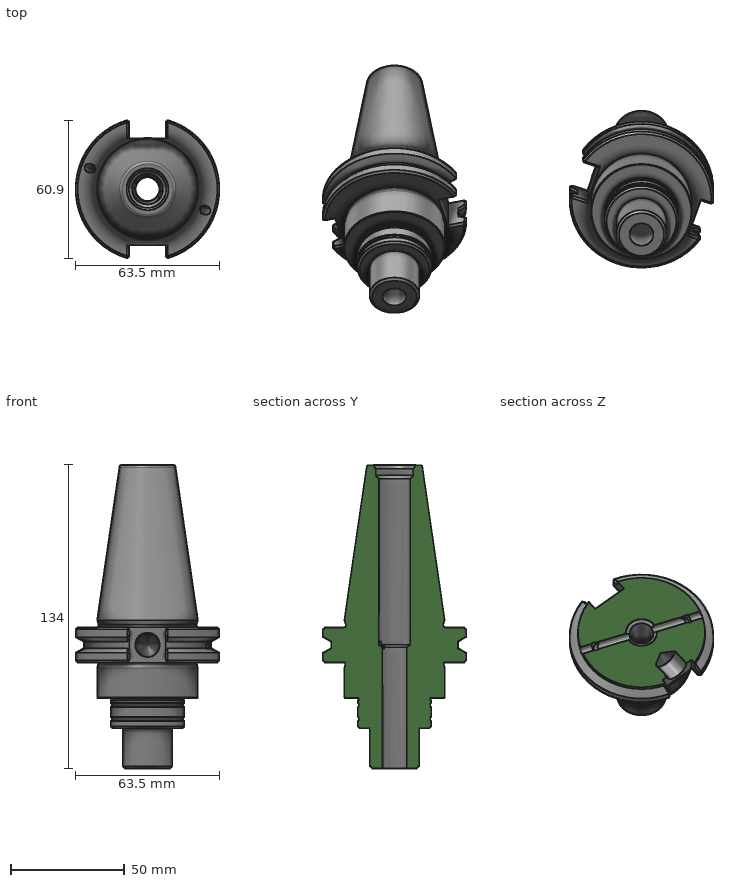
import cadquery as cq
import math

total_length = 134.0
overcut = 1.3

gauge_z = 65.5
gauge_radius = 44.5 / 2
taper_ratio = 7 / 24
nose_radius = gauge_radius - (total_length - gauge_z) * taper_ratio / 2
nose_fillet = 1.2
relief_radius = 21.5
relief_fillet = 1.1

flange_radius = 63.5 / 2
flange_bottom_z = 46.7
flange_top_z = 62.3
flange_chamfer = 1.0
groove_center_z = 54.5
groove_floor_radius = 28.1
groove_floor_half = 1.5
groove_mouth_half = 3.5

neck_radius = 21.8
neck_bottom_z = 46.0
collar_radius = 44.5 / 2
collar_top_z = 44.5
collar_bottom_z = 31.1
collar_chamfer = 0.3

sleeve_radius = 32.5 / 2
sleeve_bottom_z = 17.7
sleeve_chamfer = 1.0
undercut_radius = 16.0
undercut_bottom_z = 30.0
ring_groove_centers = (21.8, 28.0)
ring_groove_half = 1.0
ring_groove_depth = 0.4

spigot_radius = 22.0 / 2
spigot_chamfer = 1.1

mouth_radius = 9.2
counterbore_radius = 16.5 / 2
counterbore_top_z = total_length - 1.7
counterbore_bottom_z = total_length - 4.7
upper_bore_radius = 13.5 / 2
upper_bore_top_z = counterbore_bottom_z - (counterbore_radius - upper_bore_radius)
upper_bore_bottom_z = groove_center_z
lower_bore_radius = 10.5 / 2
drill_half_angle = math.radians(59)
bore_cone_height = (upper_bore_radius - lower_bore_radius) / math.tan(drill_half_angle)
lower_bore_top_z = upper_bore_bottom_z - bore_cone_height

slot_half_width = 16.2 / 2
slot_chamfer = 1.0
slot_floor_front = 24.8
slot_floor_back = 22.4
slot_hole_radius = 10.7 / 2
slot_hole_depth = 8.0

coolant_angles = (160, 340)
coolant_entry_radius = 27.0
coolant_tilt = math.radians(35)
coolant_inlet_diameter = 3.9
coolant_cross_diameter = 3.2


def revolved(points):
    """Solid of revolution about Z from (radius, z) points."""
    return cq.Workplane("XZ").polyline(points).close().revolve(360, (0, 0), (0, 1))


def ring_groove_points(center_z):
    """Shallow groove with sloped walls in the sleeve, listed from bottom to top."""
    return [
        (sleeve_radius, center_z - ring_groove_half),
        (sleeve_radius - ring_groove_depth, center_z - ring_groove_half + ring_groove_depth),
        (sleeve_radius - ring_groove_depth, center_z + ring_groove_half - ring_groove_depth),
        (sleeve_radius, center_z + ring_groove_half),
    ]


def flange():
    """Chamfered disc with a V groove around it and two drive slots."""
    points = [
        (0, flange_bottom_z),
        (flange_radius - flange_chamfer, flange_bottom_z),
        (flange_radius, flange_bottom_z + flange_chamfer),
        (flange_radius, groove_center_z - groove_mouth_half),
        (groove_floor_radius, groove_center_z - groove_floor_half),
        (groove_floor_radius, groove_center_z + groove_floor_half),
        (flange_radius, groove_center_z + groove_mouth_half),
        (flange_radius, flange_top_z - flange_chamfer),
        (flange_radius - flange_chamfer, flange_top_z),
        (0, flange_top_z),
    ]
    return cut_drive_slots(revolved(points))


def cut_drive_slots(body):
    """Cut the two slots through the flange and chamfer the rims of their side walls."""
    for side, floor in ((-1, slot_floor_front), (1, slot_floor_back)):
        depth = flange_radius - floor + overcut
        slot = cq.Workplane("XY").box(2 * slot_half_width, depth, total_length)
        body = body.cut(slot.translate((0, side * (floor + depth / 2), groove_center_z)))
    rims = body.edges().filter(is_slot_rim)
    return rims.chamfer(slot_chamfer)


def is_slot_rim(edge):
    """True for edges of a slot side wall, except those at the slot floor or the V groove floor."""
    tolerance = 0.01
    box = edge.BoundingBox()
    on_wall = box.xlen < tolerance and abs(abs(edge.Center().x) - slot_half_width) < tolerance
    upright = box.ylen < tolerance
    on_outer_rim = math.hypot(edge.Center().x, edge.Center().y) > flange_radius - tolerance
    return on_wall and (not upright or on_outer_rim)


def taper():
    """Tapered cone with a relief at its foot, blending into the flange top through a fillet."""
    relief_top_z = flange_top_z + relief_fillet
    arc_offset = relief_fillet * (1 - math.sqrt(0.5))
    profile = (
        cq.Workplane("XZ")
        .moveTo(0, flange_top_z)
        .lineTo(relief_radius + relief_fillet, flange_top_z)
        .threePointArc(
            (relief_radius + arc_offset, flange_top_z + arc_offset),
            (relief_radius, relief_top_z),
        )
        .lineTo(gauge_radius, gauge_z)
        .lineTo(nose_radius, total_length)
        .lineTo(0, total_length)
        .close()
    )
    body = profile.revolve(360, (0, 0), (0, 1))
    return body.faces(">Z").edges().fillet(nose_fillet)


def shank():
    """Spigot, grooved sleeve, collar and neck below the flange."""
    lower_groove, upper_groove = (ring_groove_points(z) for z in ring_groove_centers)
    points = [
        (0, 0),
        (spigot_radius - spigot_chamfer, 0),
        (spigot_radius, spigot_chamfer),
        (spigot_radius, sleeve_bottom_z),
        (sleeve_radius - sleeve_chamfer, sleeve_bottom_z),
        (sleeve_radius, sleeve_bottom_z + sleeve_chamfer),
        *lower_groove,
        *upper_groove,
        (sleeve_radius, undercut_bottom_z),
        (undercut_radius, undercut_bottom_z),
        (undercut_radius, collar_bottom_z),
        (collar_radius - collar_chamfer, collar_bottom_z),
        (collar_radius, collar_bottom_z + collar_chamfer),
        (collar_radius, collar_top_z),
        (neck_radius, neck_bottom_z),
        (neck_radius, flange_bottom_z),
        (0, flange_bottom_z),
    ]
    return revolved(points)


def bore():
    """Stepped axial through hole with a chamfered mouth."""
    points = [
        (0, 0),
        (lower_bore_radius, 0),
        (lower_bore_radius, lower_bore_top_z),
        (upper_bore_radius, upper_bore_bottom_z),
        (upper_bore_radius, upper_bore_top_z),
        (counterbore_radius, counterbore_bottom_z),
        (counterbore_radius, counterbore_top_z),
        (mouth_radius, total_length),
        (0, total_length),
    ]
    return revolved(points)


def drive_slot_hole():
    """Blind drilled hole with a conical bottom in the floor of the front slot."""
    inward = cq.Vector(0, 1, 0)
    mouth = cq.Vector(0, -slot_floor_front, groove_center_z)
    point_length = slot_hole_radius / math.tan(drill_half_angle)
    shaft = cq.Solid.makeCylinder(slot_hole_radius, slot_hole_depth, pnt=mouth, dir=inward)
    point_base = mouth + inward * slot_hole_depth
    point = cq.Solid.makeCone(slot_hole_radius, 0, point_length, pnt=point_base, dir=inward)
    return cq.Workplane(shaft).union(cq.Workplane(point))


def coolant_passage(angle):
    """Radial hole from the groove to the bore, met by a tilted hole from the flange top."""
    cross_hole = cq.Solid.makeCylinder(
        coolant_cross_diameter / 2, flange_radius,
        pnt=cq.Vector(0, 0, groove_center_z), dir=cq.Vector(1, 0, 0),
    )
    drop = flange_top_z - groove_center_z + coolant_cross_diameter / 2
    inlet_direction = cq.Vector(-math.sin(coolant_tilt), 0, -math.cos(coolant_tilt))
    inlet_start = cq.Vector(coolant_entry_radius, 0, flange_top_z) - inlet_direction * overcut
    inlet = cq.Solid.makeCylinder(
        coolant_inlet_diameter / 2, overcut + drop / math.cos(coolant_tilt),
        pnt=inlet_start, dir=inlet_direction,
    )
    passage = cq.Workplane(cross_hole).union(cq.Workplane(inlet))
    return passage.rotate((0, 0, 0), (0, 0, 1), angle)


result = shank().union(flange()).union(taper())
result = result.cut(bore()).cut(drive_slot_hole())
for angle in coolant_angles:
    result = result.cut(coolant_passage(angle))